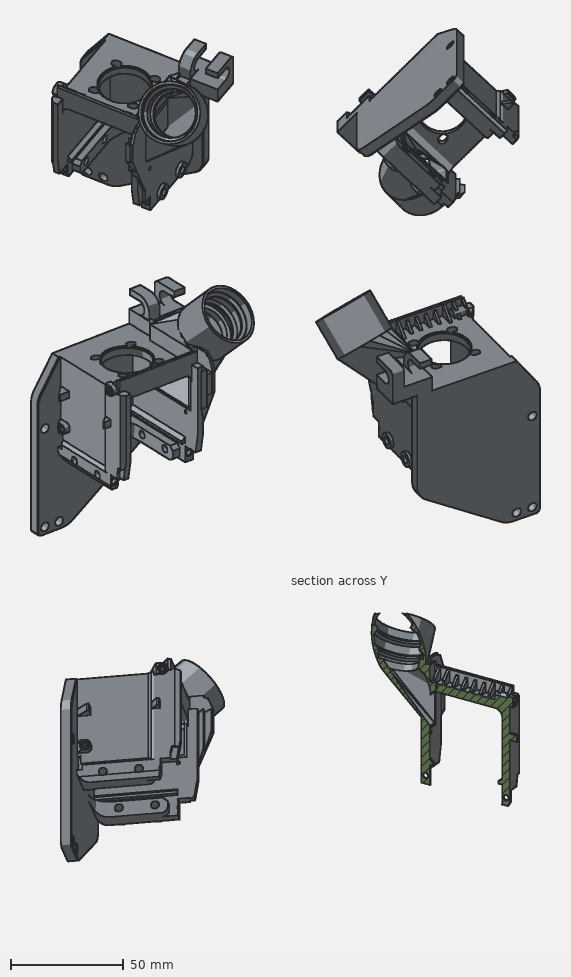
import cadquery as cq
import math


PLATE_THICK = 5.0
PLATE_RIGHT = 63.7
PLATE_EDGE_CHAMFER = 0.5
PLATE_HOLE_DIA = 4.4
PLATE_HOLES = [(4.0, 54.4), (4.0, 4.2), (12.1, 4.2)]

TOP_Z = 88.0
CEILING_Z = 83.5
FLANGE_TOP_Z = 44.7
FLANGE_BOTTOM_Z = 36.5
INNER_LEFT = 15.8
INNER_RIGHT = 53.8
PANEL_LEFT = 13.0
FRAME_LEFT = 11.4
WALL_RIGHT = 58.4
CEILING_FILLET = 3.6
FRAME_START = 38.7
FRAME_EDGE = 40.0
FRAME_EDGE_LEFT = 11.8
FLANGE_FRONT = 42.9
RECESS_BEVEL = PANEL_LEFT - FRAME_LEFT

PLATE_CORNERS = [
    (0, 0, 2.4), (17.4, 0, 10.7), (PLATE_RIGHT, 32.0, 10.7),
    (PLATE_RIGHT, TOP_Z, 0), (12.1, TOP_Z, 0), (0, 70.1, 9.5),
]

FAN_X, FAN_Y = 34.8, -25.1
FAN_DIA = 24.6
FAN_LOWER_DIA = 23.2
FAN_STEP = 0.7
FAN_SCREW_SPACING = 20.0
FAN_SLOT_LENGTH, FAN_SLOT_WIDTH = 4.8, 3.7

LIP_BACK, LIP_FRONT = 46.1, 47.5
LIP_RIGHT = 57.0
LIP_TOP_Z = 94.3
RIB_THICK = 1.3
FIRST_RIB_LEFT = 12.4
RIB_SPAN = 38.3
LONG_RIB, SHORT_RIB = 6.3, 4.6
RIB_COUNT = 9
SHORT_RIBS = range(3, 7)

POST_FRONT = 51.7
POST_TOP_Z = 88.4
POST_CHAMFER = 2.0
POST_TAPER_Z = 53.8
POST_TAPER = 1.5
POST_LAYER_Z = 50.4
POST_LAYER_ROUND = [(-44.9, FLANGE_TOP_Z), (-47.2, 47.1), (-48.1, POST_LAYER_Z)]

RIDGE_TOP_Z = 96.2
RIDGE_BACK_LEFT = 55.9
RIDGE_STEP_Y = -14.6
RIDGE_BEVEL_Y = -44.0
RIDGE_WIDE_Y = -23.8

FIN_LEFT = 57.0
FIN_FRONT = -58.4
FIN_OUTLINE = [
    (-LIP_BACK, RIDGE_TOP_Z), (-54.1, RIDGE_TOP_Z), (-54.1, 95.2), (-56.0, 94.5),
    (FIN_FRONT, 88.8), (FIN_FRONT, 78.1), (-LIP_BACK, 49.0),
]
FIN_TEETH = [(-51.5, -54.4, INNER_RIGHT), (-54.5, -58.0, 54.4)]

BAR_THICK = 4.0
BAR_END = 39.0
BAR_TOP_Z = 43.9
BAR_CHAMFER, BAR_ROUND = 1.9, 2.7
BAR_FLARE = 9.0
UNDERSIDE_DEPTH, UNDERSIDE_HEIGHT = 6.0, 4.0
UNDERSIDE_MIDDLE = (-PLATE_THICK - 2.4, FLANGE_BOTTOM_Z + 1.2)
FLANGE_BEVEL_HEIGHT, FLANGE_SIDE_BEVEL, FLANGE_FRONT_BEVEL = 2.5, 1.3, 0.8
RAIL_REACH = 2.0
RAIL_BOTTOM_Z, RAIL_TIP_Z, RAIL_TOP_Z = 46.5, 47.8, 49.5

SCREW_HOLE_DIA = 2.5
SCREW_MOUTH_DIA = 3.7
SCREW_MOUTH_DEPTH = 0.5
SCREW_DEPTH = 7.1
BOSS_DIA = 5.0
BOSS_LEFT = 10.0
HINGE_BOSS_Y, HINGE_BOSS_Z = -44.0, 88.8
HINGE_BOSS_RIGHT = 19.7
HINGE_BLEND_BACK = 5.5
HINGE_BLEND_SIDE = [
    (HINGE_BOSS_Y, 86.3), (-40.0, 86.3), (-37.8, TOP_Z), (-41.0, 91.3), (HINGE_BOSS_Y, 91.3),
]
PLATE_BOSS_Y, PLATE_BOSS_Z = -9.2, 53.8
PLATE_BOSS_WEB_Y = -7.1
FLANGE_SCREW_Z = 40.7
CROSS_HOLE_DIA = 3.7
CROSS_HOLES_Y = [-16.9, -33.3]
CLAMP_BOSS_DIA = 7.3
CLAMP_BOSS_RIGHT = 59.9
FLANGE_SCREW_INSET = 2.3
PIN_HOLE_DIA = 1.5
PIN_HOLES_Y = [-8.3, -43.1]
PIN_HOLES_Z = 62.4

CATCH_LEFT, CATCH_TIP = 7.8, 1.0
CATCH_BOTTOM_Z, CATCH_TOP_Z = 69.7, 73.1
NOTCH_BOTTOM_Z, NOTCH_TOP_Z = 42.4, 49.9
NOTCH_FRONT, NOTCH_RIGHT = -7.6, 15.6
CATCHES_Y = [(-PLATE_THICK, -11.2), (-38.0, -43.0)]

SOCKET_OD = 28.0
SOCKET_LENGTH = 19.3
SOCKET_MOUTH = cq.Vector(72.4, -50.3, 109.0)
SOCKET_TILT = math.radians(45)
SOCKET_TURN = math.radians(15)
MOUTH_BORE, THREAD_BORE, CREST_BORE, END_BORE = 25.5, 25.0, 22.0, 20.7
SOCKET_AXIS = cq.Vector(
    math.sin(SOCKET_TURN) * math.sin(SOCKET_TILT),
    -math.cos(SOCKET_TURN) * math.sin(SOCKET_TILT),
    math.cos(SOCKET_TILT),
)
SOCKET_SIDE = cq.Vector(math.cos(SOCKET_TURN), math.sin(SOCKET_TURN), 0)

MOUTH_DEPTH = 3.9
CREST_STARTS = [MOUTH_DEPTH, 10.9]
CREST_FLANK, CREST_WIDTH = 1.1, 1.0
THREAD_END = 15.9

DUCT_X = 53.6
DUCT_BACK, DUCT_FRONT = 17.8, 47.0
DUCT_BOTTOM_Z = 64.8
DUCT_WALL = 1.2
RING_STEPS = 48
CONE_FACETS = 5

CLIP_LEFT, CLIP_WIDTH, CLIP_PITCH = 56.2, 6.1, 14.0
CLIP_DEPTH = 14.0
CLIP_TOP_Z = 105.4
CABLE_DIA = 6.9
CABLE_Y = -7.0
CLIP_BASE_Z = 95.5
LEFT_CLIP_ROUND, RIGHT_CLIP_ROUND = 6.8, 2.5
SUPPORT_FRONT = -21.4
SUPPORT_BOTTOM_Z, SUPPORT_TOP_Z = 76.5, 94.7


def box(x0, x1, y0, y1, z0, z1):
    return cq.Workplane("XY").box(x1 - x0, y1 - y0, z1 - z0, centered=False).translate((x0, y0, z0))


def along_x(points, x0, x1):
    """Prism with a (Y, Z) outline running from x0 to x1."""
    return cq.Workplane("YZ").polyline(points).close().extrude(x1 - x0).translate((x0, 0, 0))


def along_y(points, y0, y1):
    """Prism with an (X, Z) outline running from y0 forward to y1 (y1 < y0)."""
    return cq.Workplane("XZ").polyline(points).close().extrude(y0 - y1).translate((0, y0, 0))


def along_z(points, z0, z1):
    """Prism with an (X, Y) outline running from z0 to z1."""
    return cq.Workplane("XY").polyline(points).close().extrude(z1 - z0).translate((0, 0, z0))


def rod_x(dia, x0, x1, y, z):
    return cq.Workplane("YZ").center(y, z).circle(dia / 2).extrude(x1 - x0).translate((x0, 0, 0))


def rod_y(dia, y0, y1, x, z):
    return cq.Workplane("XZ").center(x, z).circle(dia / 2).extrude(y0 - y1).translate((0, y0, 0))


def back_plate():
    plate = along_y([(x, z) for x, z, _ in PLATE_CORNERS], 0, -PLATE_THICK)
    for x, z, radius in PLATE_CORNERS:
        if radius:
            corner = cq.selectors.NearestToPointSelector((x, -PLATE_THICK / 2, z))
            plate = plate.edges("|Y").edges(corner).fillet(radius)
    plate = plate.faces("<Y").edges().chamfer(PLATE_EDGE_CHAMFER)
    for x, z in PLATE_HOLES:
        plate = plate.cut(rod_y(PLATE_HOLE_DIA, 1.2, -PLATE_THICK - 1.2, x, z))
    return plate


def shell():
    """Roof and side walls around the fan bay."""
    body = box(PANEL_LEFT, WALL_RIGHT, -LIP_FRONT, 0, FLANGE_TOP_Z, TOP_Z)
    bay = box(INNER_LEFT, INNER_RIGHT, -LIP_FRONT - 1.2, -PLATE_THICK, FLANGE_TOP_Z - 1.2, CEILING_Z)
    bay = bay.edges("|Y and >Z").fillet(CEILING_FILLET)
    return body.cut(bay)


def fan_opening():
    top = cq.Workplane("XY").workplane(offset=TOP_Z).center(FAN_X, FAN_Y)
    half = FAN_SCREW_SPACING / 2
    corners = [(sx * half, sy * half) for sx in (-1, 1) for sy in (-1, 1)]
    depth = -(TOP_Z - CEILING_Z + 1.2)
    opening = top.circle(FAN_LOWER_DIA / 2).extrude(depth)
    opening = opening.union(top.circle(FAN_DIA / 2).extrude(-FAN_STEP))
    return opening.union(top.pushPoints(corners).slot2D(FAN_SLOT_LENGTH, FAN_SLOT_WIDTH).extrude(depth))


def front_lip():
    lip = box(PANEL_LEFT, LIP_RIGHT, -LIP_FRONT, -LIP_BACK, CEILING_Z, LIP_TOP_Z)
    for i in range(RIB_COUNT):
        size = SHORT_RIB if i in SHORT_RIBS else LONG_RIB
        x = FIRST_RIB_LEFT + i * RIB_SPAN / (RIB_COUNT - 1)
        profile = [(-LIP_BACK, TOP_Z), (-LIP_BACK, TOP_Z + size), (-LIP_BACK + size, TOP_Z)]
        lip = lip.union(along_x(profile, x, x + RIB_THICK))
    return lip


def left_frame():
    """Raised border in front of and below the left wall panel, bevelled towards the panel."""
    bevel = RECESS_BEVEL
    front = along_z(
        [
            (INNER_LEFT, -FRAME_START + bevel), (PANEL_LEFT, -FRAME_START + bevel),
            (FRAME_EDGE_LEFT, -FRAME_START), (FRAME_LEFT, -FRAME_EDGE),
            (FRAME_LEFT, -LIP_FRONT), (INNER_LEFT, -LIP_FRONT),
        ],
        FLANGE_TOP_Z, TOP_Z,
    )
    ledge = along_y(
        [
            (FRAME_LEFT, FLANGE_TOP_Z), (INNER_LEFT, FLANGE_TOP_Z),
            (INNER_LEFT, FLANGE_TOP_Z + bevel), (PANEL_LEFT, FLANGE_TOP_Z + bevel),
        ],
        -PLATE_THICK, -FRAME_START,
    )
    return front.union(ledge)


def post_foot_cut():
    """Wedge removed below the taper height so that both posts lean back at the foot."""
    points = [
        (-POST_FRONT, POST_TAPER_Z), (-POST_FRONT - 1.2, POST_TAPER_Z),
        (-POST_FRONT - 1.2, FLANGE_TOP_Z), (-POST_FRONT + POST_TAPER, FLANGE_TOP_Z),
    ]
    return along_x(points, FRAME_LEFT, WALL_RIGHT)


def left_post():
    """Front post with a chamfered outer corner; its outer layer ends in a round at the foot."""
    outline = [
        (FRAME_LEFT, -LIP_FRONT), (FRAME_LEFT, -POST_FRONT + POST_CHAMFER),
        (FRAME_LEFT + POST_CHAMFER, -POST_FRONT), (INNER_LEFT, -POST_FRONT), (INNER_LEFT, -LIP_FRONT),
    ]
    column = along_z(outline, FLANGE_TOP_Z, POST_TOP_Z)
    round_start, round_middle, round_end = POST_LAYER_ROUND
    layer = (
        cq.Workplane("YZ").moveTo(-POST_FRONT, FLANGE_TOP_Z).lineTo(*round_start)
        .threePointArc(round_middle, round_end).lineTo(-POST_FRONT, POST_LAYER_Z).close()
        .extrude(PANEL_LEFT - FRAME_LEFT).translate((FRAME_LEFT, 0, 0))
    )
    return column.cut(layer).cut(post_foot_cut())


def right_post():
    column = box(INNER_RIGHT, FIN_LEFT, -POST_FRONT, -LIP_FRONT, FLANGE_TOP_Z, POST_TOP_Z)
    return column.cut(post_foot_cut())


def flange(outer, inner, toward_middle):
    """Lower clamp flange with an inner bar that flares into the back plate."""
    bar_face = inner + toward_middle * BAR_THICK
    lug_left, lug_right = sorted((outer, inner))
    bar_left, bar_right = sorted((inner, bar_face))
    lug = box(lug_left, lug_right, -FLANGE_FRONT, -PLATE_THICK, FLANGE_BOTTOM_Z, FLANGE_TOP_Z)
    bar = box(bar_left, bar_right, -BAR_END, -PLATE_THICK, FLANGE_BOTTOM_Z, BAR_TOP_Z)
    bar = bar.faces("<Y").edges("|X and >Z").chamfer(BAR_CHAMFER)
    bar = bar.faces("<Y").edges("|X and <Z").fillet(BAR_ROUND)

    arc_middle = BAR_FLARE * (1 - math.sqrt(0.5))
    web = (
        cq.Workplane("XY").moveTo(bar_face, -PLATE_THICK)
        .lineTo(bar_face + toward_middle * BAR_FLARE, -PLATE_THICK)
        .threePointArc(
            (bar_face + toward_middle * arc_middle, -PLATE_THICK - arc_middle),
            (bar_face, -PLATE_THICK - BAR_FLARE),
        )
        .close().extrude(BAR_TOP_Z - FLANGE_BOTTOM_Z).translate((0, 0, FLANGE_BOTTOM_Z))
    )

    below = FLANGE_BOTTOM_Z - 1.2
    round_end = -PLATE_THICK - UNDERSIDE_DEPTH
    underside = (
        cq.Workplane("YZ").moveTo(-PLATE_THICK, below)
        .lineTo(-PLATE_THICK, FLANGE_BOTTOM_Z + UNDERSIDE_HEIGHT)
        .threePointArc(UNDERSIDE_MIDDLE, (round_end, FLANGE_BOTTOM_Z)).lineTo(round_end, below)
        .close().extrude(PLATE_RIGHT)
    )
    return lug.union(bar).union(web).cut(underside)


def left_flange_bevel():
    """Steep bevels on the lower outer and front edges of the left flange."""
    z0 = FLANGE_BOTTOM_Z
    z1 = z0 + FLANGE_BEVEL_HEIGHT
    side_points = [(FRAME_LEFT, z0), (FRAME_LEFT + FLANGE_SIDE_BEVEL, z0), (FRAME_LEFT, z1)]
    front_points = [(-FLANGE_FRONT, z0), (-FLANGE_FRONT + FLANGE_FRONT_BEVEL, z0), (-FLANGE_FRONT, z1)]
    side = along_y(side_points, -PLATE_THICK, -FLANGE_FRONT)
    return side.union(along_x(front_points, FRAME_LEFT, INNER_LEFT))


def snap_rail(wall, toward_middle):
    """Low catch running along the inside of a wall."""
    tip = wall + toward_middle * RAIL_REACH
    points = [(wall, RAIL_BOTTOM_Z), (tip, RAIL_BOTTOM_Z), (tip, RAIL_TIP_Z), (wall, RAIL_TOP_Z)]
    return along_y(points, -PLATE_THICK, -FLANGE_FRONT)


def fin_outline():
    """Side outline shared by the fin and its teeth, with a long sloping lower edge."""
    return along_x(FIN_OUTLINE, INNER_RIGHT, WALL_RIGHT)


def fin_with_teeth():
    plan = box(FIN_LEFT, WALL_RIGHT, FIN_FRONT, -LIP_BACK, 0, RIDGE_TOP_Z)
    for y_back, y_front, tip_x in FIN_TEETH:
        plan = plan.union(along_z([(FIN_LEFT, y_back), (tip_x, y_front), (FIN_LEFT, y_front)], 0, TOP_Z))
    return fin_outline().intersect(plan)


def ridge():
    """Raised wall along the right of the roof, stepped in plan."""
    points = [
        (RIDGE_BACK_LEFT, -CLIP_DEPTH), (RIDGE_BACK_LEFT, RIDGE_STEP_Y), (DUCT_X, -DUCT_BACK),
        (DUCT_X, RIDGE_BEVEL_Y), (LIP_RIGHT, -LIP_FRONT), (WALL_RIGHT, -LIP_FRONT),
        (WALL_RIGHT, RIDGE_WIDE_Y), (LIP_RIGHT, RIDGE_WIDE_Y), (LIP_RIGHT, -CLIP_DEPTH),
    ]
    return along_z(points, TOP_Z, RIDGE_TOP_Z)


def left_catch(y_back, y_front):
    """Wedge on the outside of the left wall."""
    points = [
        (PANEL_LEFT, y_back), (CATCH_LEFT, y_front + CATCH_TIP),
        (CATCH_LEFT, y_front), (PANEL_LEFT, y_front),
    ]
    return along_z(points, CATCH_BOTTOM_Z, CATCH_TOP_Z)


def hinge_boss():
    """Screw boss at the upper front corner of the left wall, blended back into the wall."""
    y, z = HINGE_BOSS_Y, HINGE_BOSS_Z
    boss = rod_x(BOSS_DIA, BOSS_LEFT, HINGE_BOSS_RIGHT, y, z)
    points = [
        (BOSS_LEFT, y), (BOSS_LEFT, y + BOSS_DIA / 2),
        (PANEL_LEFT, y + HINGE_BLEND_BACK), (PANEL_LEFT, y),
    ]
    blend = along_z(points, z - BOSS_DIA / 2, z + BOSS_DIA / 2)
    blend = blend.intersect(along_x(HINGE_BLEND_SIDE, BOSS_LEFT, PANEL_LEFT))
    return boss.union(blend).cut(screw_hole_x(BOSS_LEFT, y, z))


def plate_boss():
    """Screw boss low on the left wall, joined to the back plate."""
    y, z = PLATE_BOSS_Y, PLATE_BOSS_Z
    boss = rod_x(BOSS_DIA, BOSS_LEFT, PANEL_LEFT, y, z)
    points = [(BOSS_LEFT, y), (BOSS_LEFT, PLATE_BOSS_WEB_Y), (PANEL_LEFT, -PLATE_THICK), (PANEL_LEFT, y)]
    web = along_z(points, z - BOSS_DIA / 2, z + BOSS_DIA / 2)
    return boss.union(web).cut(screw_hole_x(BOSS_LEFT, y, z))


def corner_notch():
    """Slanted notch low in the corner between the back plate and the left wall."""
    points = [(FRAME_LEFT, -PLATE_THICK), (FRAME_LEFT, NOTCH_FRONT), (NOTCH_RIGHT, -PLATE_THICK)]
    return along_z(points, NOTCH_BOTTOM_Z, NOTCH_TOP_Z)


def screw_hole_x(x, y, z):
    hole = rod_x(SCREW_HOLE_DIA, x, x + SCREW_DEPTH, y, z)
    return hole.union(rod_x(SCREW_MOUTH_DIA, x, x + SCREW_MOUTH_DEPTH, y, z))


def flange_screw_hole(x):
    """Screw hole running back from the front end of a flange."""
    end = -FLANGE_FRONT
    hole = rod_y(SCREW_HOLE_DIA, end + SCREW_DEPTH, end, x, FLANGE_SCREW_Z)
    return hole.union(rod_y(SCREW_MOUTH_DIA, end + SCREW_MOUTH_DEPTH, end, x, FLANGE_SCREW_Z))


def cable_clips():
    """Two C-shaped clips facing opposite ways on a common base."""
    right = CLIP_LEFT + CLIP_PITCH
    base = box(RIDGE_BACK_LEFT, right + CLIP_WIDTH, -CLIP_DEPTH, 0, TOP_Z, CLIP_BASE_Z)
    cable_z = CLIP_BASE_Z + CABLE_DIA / 2
    variants = ((CLIP_LEFT, 0, "<Y", LEFT_CLIP_ROUND), (right, -CLIP_DEPTH, ">Y", RIGHT_CLIP_ROUND))
    for x, y_end, edge, radius in variants:
        clip = box(x, x + CLIP_WIDTH, -CLIP_DEPTH, 0, CLIP_BASE_Z, CLIP_TOP_Z)
        clip = clip.faces(">Z").edges(edge).fillet(radius)
        clip = clip.cut(rod_x(CABLE_DIA, x, x + CLIP_WIDTH, CABLE_Y, cable_z))
        y0, y1 = sorted((y_end, CABLE_Y))
        mouth = box(x, x + CLIP_WIDTH, y0, y1, CLIP_BASE_Z, CLIP_BASE_Z + CABLE_DIA)
        base = base.union(clip.cut(mouth))
    left_end = CLIP_LEFT + CLIP_WIDTH
    support = box(CLIP_LEFT, left_end, SUPPORT_FRONT, -PLATE_THICK, SUPPORT_BOTTOM_Z, SUPPORT_TOP_Z)
    return base.union(support)


def socket_body():
    return cq.Workplane(cq.Solid.makeCylinder(SOCKET_OD / 2, SOCKET_LENGTH, SOCKET_MOUTH, SOCKET_AXIS * -1))


def socket_bore():
    """Stepped bore with two thread crests, revolved from a (radius, depth) profile."""
    mouth, thread, crest, end = (dia / 2 for dia in (MOUTH_BORE, THREAD_BORE, CREST_BORE, END_BORE))
    profile = [(0, 0), (mouth, 0), (mouth, MOUTH_DEPTH)]
    for start in CREST_STARTS:
        crest_start = start + CREST_FLANK
        crest_end = crest_start + CREST_WIDTH
        profile += [
            (thread, start), (crest, crest_start), (crest, crest_end), (thread, crest_end + CREST_FLANK),
        ]
    profile += [(thread, THREAD_END), (end, THREAD_END), (end, SOCKET_LENGTH), (0, SOCKET_LENGTH)]
    plane = cq.Plane(origin=SOCKET_MOUTH, xDir=SOCKET_SIDE, normal=SOCKET_SIDE.cross(SOCKET_AXIS * -1))
    return cq.Workplane(plane).polyline(profile).close().revolve(360, (0, 0, 0), (0, 1, 0))


def triangle(a, b, c):
    return cq.Face.makeFromWires(cq.Wire.makePolygon([a, b, c], close=True))


def rectangle_to_ring(y0, y1, z0, z1, dia):
    """Convex transition from a rectangle in the plane X = DUCT_X to a ring at the socket end.

    Each rectangle edge gets one triangle tangent to the ring; each corner fans out as a faceted cone.
    """
    corners = [cq.Vector(DUCT_X, y, z) for y, z in ((y0, z0), (y0, z1), (y1, z1), (y1, z0))]
    center = SOCKET_MOUTH - SOCKET_AXIS * SOCKET_LENGTH
    up = SOCKET_SIDE.cross(SOCKET_AXIS)

    def point(i):
        angle = 2 * math.pi * i / RING_STEPS
        return center + SOCKET_SIDE * (dia / 2 * math.cos(angle)) + up * (dia / 2 * math.sin(angle))

    def tangent_index(a, b):
        """Ring point whose plane through edge a-b has the whole ring on one side."""
        best = 0
        for k in range(1, RING_STEPS):
            normal = (b - a).cross(point(best) - a)
            if normal.dot(point(k) - a) > 0:
                best = k
        return best

    faces = [cq.Face.makeFromWires(cq.Wire.makePolygon(corners, close=True))]
    rim = []
    touch = [tangent_index(corners[i], corners[(i + 1) % 4]) for i in range(4)]
    for i in range(4):
        after = corners[(i + 1) % 4]
        faces.append(triangle(corners[i], after, point(touch[i])))
        span = (touch[i] - touch[(i + 1) % 4]) % RING_STEPS / CONE_FACETS
        for piece in range(CONE_FACETS):
            first = touch[i] - piece * span
            last = first - span
            faces.append(triangle(after, point(first), point(last)))
            rim.append(point(first))
    faces.append(cq.Face.makeFromWires(cq.Wire.makePolygon(rim, close=True)))
    return cq.Workplane(cq.Solid.makeSolid(cq.Shell.makeShell(faces)))


def cross_holes():
    """Clamp holes through both flanges, and two small holes through the right wall."""
    holes = cq.Workplane()
    for y in CROSS_HOLES_Y:
        holes = holes.add(rod_x(CROSS_HOLE_DIA, FRAME_LEFT - 1.2, CLAMP_BOSS_RIGHT + 1.2, y, FLANGE_SCREW_Z))
    for y in PIN_HOLES_Y:
        holes = holes.add(rod_x(PIN_HOLE_DIA, INNER_RIGHT - 1.2, WALL_RIGHT + 1.2, y, PIN_HOLES_Z))
    return holes.combine()


duct_outside = rectangle_to_ring(-DUCT_BACK, -DUCT_FRONT, DUCT_BOTTOM_Z, RIDGE_TOP_Z, SOCKET_OD)
duct_inside = rectangle_to_ring(
    -DUCT_BACK - DUCT_WALL, -DUCT_FRONT + DUCT_WALL, DUCT_BOTTOM_Z + DUCT_WALL, CEILING_Z, END_BORE
)

result = back_plate().union(shell()).cut(fan_opening())
result = result.union(front_lip()).union(left_frame()).union(ridge()).union(fin_with_teeth())
result = result.union(left_post()).union(right_post())
result = result.union(flange(FRAME_LEFT, INNER_LEFT, 1)).cut(left_flange_bevel()).cut(corner_notch())
result = result.union(flange(WALL_RIGHT, INNER_RIGHT, -1))
result = result.union(snap_rail(INNER_LEFT, 1)).union(snap_rail(INNER_RIGHT, -1))
for y in CROSS_HOLES_Y:
    result = result.union(rod_x(CLAMP_BOSS_DIA, WALL_RIGHT, CLAMP_BOSS_RIGHT, y, FLANGE_SCREW_Z))
for y_back, y_front in CATCHES_Y:
    result = result.union(left_catch(y_back, y_front))
result = result.union(hinge_boss()).union(plate_boss())
result = result.cut(cross_holes())
for x in (FRAME_LEFT + FLANGE_SCREW_INSET, WALL_RIGHT - FLANGE_SCREW_INSET):
    result = result.cut(flange_screw_hole(x))
result = result.union(cable_clips()).union(duct_outside).union(socket_body())
result = result.cut(socket_bore()).cut(duct_inside)